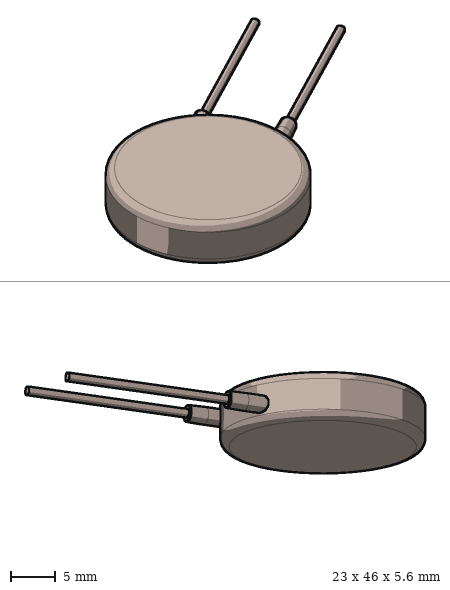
import cadquery as cq

body_diameter = 23.0
body_height = 5.6
rim_radius = 1.0
body_radius = body_diameter / 2

overall_length = 46.0
lead_end_y = overall_length - body_radius
lead_x = 5.0
lead_z = 0.5
wire_radius = 0.5
sleeve_radius = 1.0
sleeve_tip_radius = 0.95
sleeve_end_chamfer = 0.1
sleeve_shoulder_y = 12.3
sleeve_end_y = 14.5
sleeve_start_y = body_radius / 2


def make_body():
    disc = cq.Workplane("XY").cylinder(body_height, body_radius)
    return disc.faces("<Z or >Z").edges().fillet(rim_radius)


def make_lead(side):
    """Wire with a slightly tapered sleeve chamfered at its end; side is -1 (low) or 1 (high)."""
    profile = (
        cq.Workplane("XY")
        .moveTo(0, sleeve_start_y)
        .lineTo(sleeve_radius, sleeve_start_y)
        .lineTo(sleeve_radius, sleeve_shoulder_y)
        .lineTo(sleeve_tip_radius, sleeve_end_y - sleeve_end_chamfer)
        .lineTo(sleeve_tip_radius - sleeve_end_chamfer, sleeve_end_y)
        .lineTo(wire_radius, sleeve_end_y)
        .lineTo(wire_radius, lead_end_y)
        .lineTo(0, lead_end_y)
        .close()
    )
    lead = profile.revolve(360, (0, 0, 0), (0, 1, 0))
    return lead.translate((side * lead_x, 0, side * lead_z))


result = make_body()
for side in (-1, 1):
    result = result.union(make_lead(side))